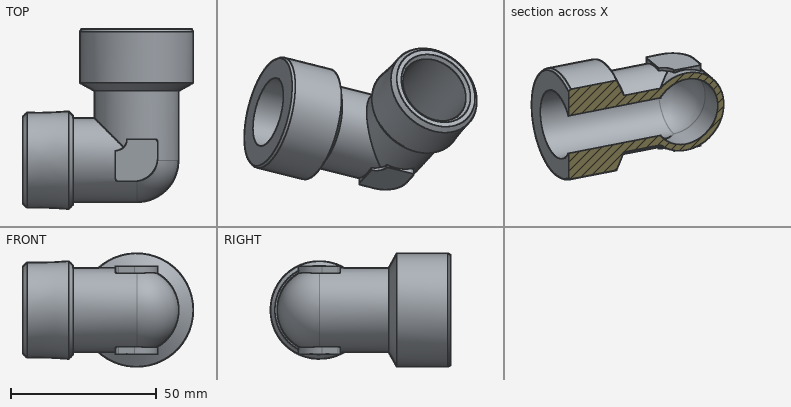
import cadquery as cq

pipe_radius = 29.0 / 2
bore_radius = 24.0 / 2

male_length = 39.05
male_collar_length = 17.3
male_rim_radius = 14.9
male_front_radius = 16.4
male_back_radius = 16.8
male_shoulder_radius = 15.25
male_waist_radius = 16.4
male_chamfer = 1.55
male_bore_chamfer = 1.2

female_length = 45.0
female_radius = 39.0 / 2
female_body_length = 18.5
female_cone_length = 2.8
female_rim_chamfer = 0.9
female_rim_inset = 0.55

lug_half_width = 7.2
lug_height = 15.1
lug_base = 12.35
lug_outer_radius = 8.0
lug_notch_radius = 3.95
lug_corner_radius = 1.0


def male_arm():
    """Pipe and slightly waisted collar, revolved about the X axis."""
    front = -male_length + male_chamfer
    collar_end = -male_length + male_collar_length
    back = collar_end - male_chamfer
    return (
        cq.Workplane("XY")
        .moveTo(0, 0)
        .lineTo(-male_length, 0)
        .lineTo(-male_length, male_rim_radius)
        .lineTo(front, male_front_radius)
        .threePointArc(((front + back) / 2, male_waist_radius), (back, male_back_radius))
        .lineTo(collar_end, male_shoulder_radius)
        .lineTo(collar_end, pipe_radius)
        .lineTo(0, pipe_radius)
        .close()
        .revolve(360, (0, 0), (1, 0))
    )


def female_arm():
    """Pipe, cone and wide body, revolved about the Y axis."""
    body_start = female_length - female_body_length
    return (
        cq.Workplane("XY")
        .moveTo(0, 0)
        .lineTo(pipe_radius, 0)
        .lineTo(pipe_radius, body_start - female_cone_length)
        .lineTo(female_radius, body_start)
        .lineTo(female_radius, female_length - female_rim_chamfer)
        .lineTo(female_radius - female_rim_inset, female_length)
        .lineTo(0, female_length)
        .close()
        .revolve(360, (0, 0), (0, 1))
    )


def upper_lug():
    """Square plate with one outer corner rounded and the inner corner notched."""
    width = 2 * lug_half_width
    thickness = lug_height - lug_base
    plate = cq.Workplane("XY").workplane(offset=lug_base).rect(width, width).extrude(thickness)
    plate = plate.edges("|Z").edges(">(1, -1, 0)").fillet(lug_outer_radius)
    plate = plate.edges("|Z").edges(">(1, 2, 0)").fillet(lug_corner_radius)
    plate = plate.edges("|Z").edges("<(2, 1, 0)").fillet(lug_corner_radius)
    notch = (
        cq.Workplane("XY")
        .workplane(offset=lug_base)
        .center(-lug_half_width, lug_half_width)
        .circle(lug_notch_radius)
        .extrude(thickness)
    )
    return plate.cut(notch)


def bore():
    """Two equal bores joined by a spherical turn, with a lead-in cone at the male end."""
    male_bore = cq.Workplane("YZ").circle(bore_radius).extrude(-male_length)
    female_bore = cq.Workplane("XZ").circle(bore_radius).extrude(-female_length)
    lead_in = (
        cq.Workplane("XY")
        .moveTo(-male_length, 0)
        .lineTo(-male_length, bore_radius + male_bore_chamfer)
        .lineTo(-male_length + male_bore_chamfer, bore_radius)
        .lineTo(-male_length + male_bore_chamfer, 0)
        .close()
        .revolve(360, (0, 0), (1, 0))
    )
    turn = cq.Workplane("XY").sphere(bore_radius)
    return male_bore.union(female_bore).union(turn).union(lead_in)


lug = upper_lug()
elbow = cq.Workplane("XY").sphere(pipe_radius)
body = male_arm().union(female_arm()).union(elbow)
body = body.union(lug).union(lug.mirror("XY"))
result = body.cut(bore())